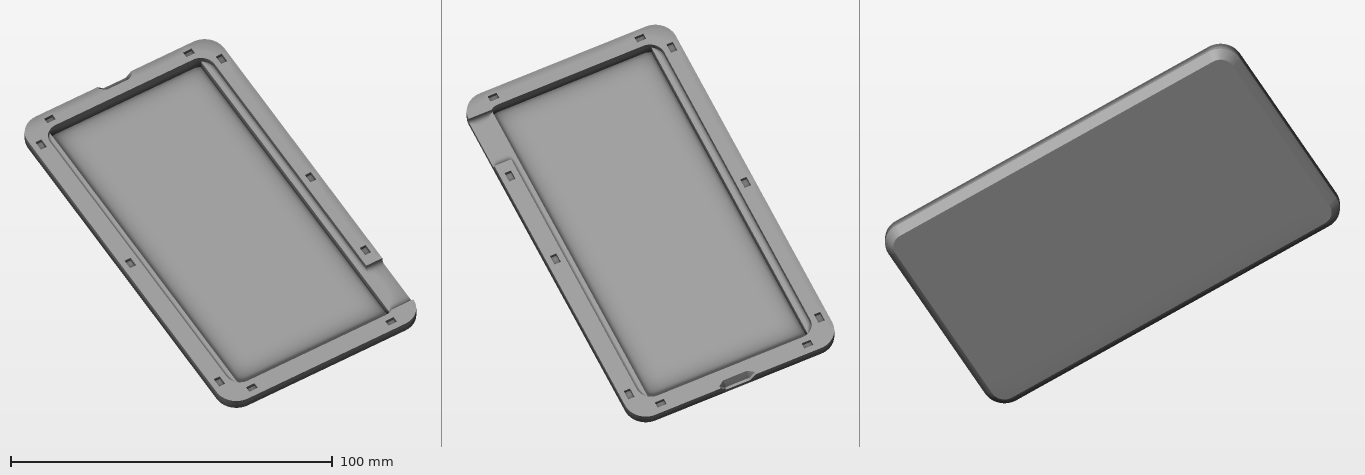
import cadquery as cq
import math

LENGTH = 128.6
WIDTH = 71.1
HEIGHT = 6.0
CORNER_RADIUS = 7.1
BOTTOM_CHAMFER = 2.6

END_RIM_WIDTH = 6.0
SIDE_RIM_WIDTH = 5.8
RECESS_RADIUS = 4.9
LEDGE_WIDTH = 2.5
LEDGE_DEPTH = 1.8
POCKET_DEPTH = 4.6
RECESS_LENGTH = LENGTH - 2 * END_RIM_WIDTH
RECESS_WIDTH = WIDTH - 2 * SIDE_RIM_WIDTH
POCKET_WIDTH = RECESS_WIDTH - 2 * LEDGE_WIDTH

GAP_LEFT = 38.6
GAP_RIGHT = 57.4
GAP_END_RADIUS = 1.3

NOTCH_DEPTH = 2.0
NOTCH_FLOOR_REACH = 0.9
NOTCH_FLOOR_WIDTH = 8.1
NOTCH_FLOOR_CORNER = 0.1
NOTCH_SIDE_FLARE = 2.0
NOTCH_BACK_FLARE = 1.4

LONG_SOCKET = (3.3, 2.2)
SHORT_SOCKET = (2.0, 3.1)
SOCKET_DEPTH = 1.3
SOCKET_ROW_Y = 32.7
SOCKET_ROW_END = 54.0
SOCKET_NEAR_GAP_X = 33.2
SOCKET_COLUMN_X = 61.2
SOCKET_COLUMN_Y = 25.2

CLEARANCE = 1.3


def tray_body():
    body = cq.Workplane("XY").box(LENGTH, WIDTH, HEIGHT, centered=(True, True, False))
    body = body.translate((0, 0, -HEIGHT)).edges("|Z").fillet(CORNER_RADIUS)
    return body.faces("<Z").edges().chamfer(BOTTOM_CHAMFER)


def rounded_recess(depth):
    recess = cq.Workplane("XY").rect(RECESS_LENGTH, RECESS_WIDTH).extrude(-depth)
    return recess.edges("|Z").fillet(RECESS_RADIUS)


def stepped_cavity():
    pocket_limits = cq.Workplane("XY").rect(RECESS_LENGTH, POCKET_WIDTH).extrude(-POCKET_DEPTH)
    pocket = rounded_recess(POCKET_DEPTH).intersect(pocket_limits)
    return rounded_recess(LEDGE_DEPTH).union(pocket)


def rim_gap():
    arc_center_z = GAP_END_RADIUS - LEDGE_DEPTH
    arc_reach = GAP_END_RADIUS * math.sqrt(0.5)
    left_center_x = GAP_LEFT + GAP_END_RADIUS
    right_center_x = GAP_RIGHT - GAP_END_RADIUS
    arc_middle_z = arc_center_z - arc_reach
    gap_length = SIDE_RIM_WIDTH + LEDGE_WIDTH + CLEARANCE
    profile = (
        cq.Workplane("XZ")
        .moveTo(GAP_LEFT, 0)
        .lineTo(GAP_LEFT, arc_center_z)
        .threePointArc((left_center_x - arc_reach, arc_middle_z), (left_center_x, -LEDGE_DEPTH))
        .lineTo(right_center_x, -LEDGE_DEPTH)
        .threePointArc((right_center_x + arc_reach, arc_middle_z), (GAP_RIGHT, arc_center_z))
        .lineTo(GAP_RIGHT, 0)
        .close()
    )
    gap = profile.extrude(gap_length)
    return gap.translate((0, WIDTH / 2 + CLEARANCE, 0))


def notch_outline(half_width, reach, corner_x, corner_y):
    """Plan of the notch from beyond the left edge, with both inner corners cut off."""
    outer_x = -LENGTH / 2 - CLEARANCE
    inner_x = -LENGTH / 2 + reach
    return [
        (outer_x, -half_width),
        (inner_x - corner_x, -half_width),
        (inner_x, corner_y - half_width),
        (inner_x, half_width - corner_y),
        (inner_x - corner_x, half_width),
        (outer_x, half_width),
    ]


def finger_notch():
    floor_half_width = NOTCH_FLOOR_WIDTH / 2
    floor_outline = notch_outline(
        floor_half_width, NOTCH_FLOOR_REACH, NOTCH_FLOOR_CORNER, NOTCH_FLOOR_CORNER
    )
    top_outline = notch_outline(
        floor_half_width + NOTCH_SIDE_FLARE,
        NOTCH_FLOOR_REACH + NOTCH_BACK_FLARE,
        NOTCH_BACK_FLARE,
        NOTCH_SIDE_FLARE,
    )
    floor = cq.Workplane("XY", origin=(0, 0, -NOTCH_DEPTH)).polyline(floor_outline).close()
    top = floor.workplane(offset=NOTCH_DEPTH).polyline(top_outline).close()
    return top.loft(ruled=True)


def sockets(size, centers):
    return cq.Workplane("XY").pushPoints(centers).rect(*size).extrude(-SOCKET_DEPTH)


back_row = [(x, SOCKET_ROW_Y) for x in (-SOCKET_ROW_END, 0, SOCKET_NEAR_GAP_X)]
front_row = [(x, -SOCKET_ROW_Y) for x in (-SOCKET_ROW_END, 0, SOCKET_ROW_END)]
side_columns = [
    (x, y)
    for x in (-SOCKET_COLUMN_X, SOCKET_COLUMN_X)
    for y in (-SOCKET_COLUMN_Y, SOCKET_COLUMN_Y)
]

result = (
    tray_body()
    .cut(stepped_cavity())
    .cut(rim_gap())
    .cut(finger_notch())
    .cut(sockets(LONG_SOCKET, back_row + front_row))
    .cut(sockets(SHORT_SOCKET, side_columns))
)